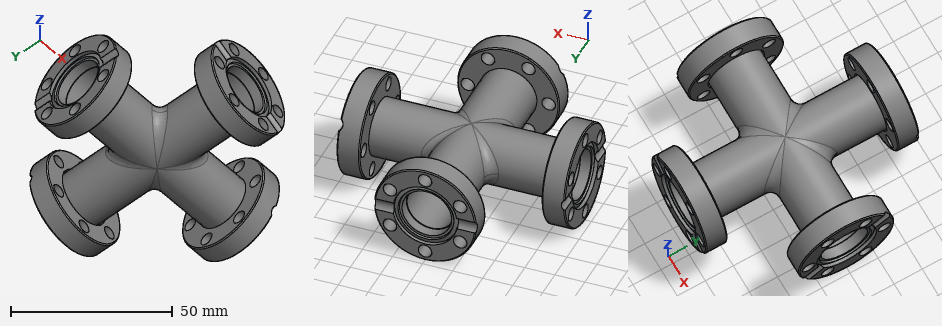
import cadquery as cq


face_distance = 38.0
flange_diameter = 34.0
flange_thickness = 7.7
flange_back = face_distance - flange_thickness
rim_chamfer = 0.4

tube_diameter = 19.0
tube_bore_diameter = 16.0
crotch_fillet = 3.4
tube_end_depth = 5.0

socket_diameter = 19.1
port_bore_diameter = 16.5
gasket_recess_diameter = 21.3
recess_depth = 1.2
knife_diameter = 18.55
knife_depth = 0.75
knife_floor_depth = 1.45
knife_inner_diameter = 18.2

bolt_count = 6
bolt_hole_diameter = 4.5
bolt_circle_diameter = 27.0

groove_width = 3.95
groove_depth = 1.15

hub_diameter = 21.3
hub_seat_diameter = 21.4
ring_neck_diameter = 20.1
hub_length = 4.55
hub_back_depth = recess_depth + hub_length

fixed_ports = [(0, 30), (-90, -30)]
rotatable_ports = [(90, 0), (180, 0)]


def cylinder(diameter, inner_end, outer_end):
    """Round bar along +X between two distances from the centre of the cross."""
    bar = cq.Workplane("YZ", origin=(inner_end, 0, 0)).circle(diameter / 2)
    return bar.extrude(outer_end - inner_end)


def place(body, direction, roll):
    """Turn a body built along +X to its port."""
    rolled = body.rotate((0, 0, 0), (1, 0, 0), roll)
    return rolled.rotate((0, 0, 0), (0, 0, 1), direction)


def crossed_bars(diameter, half_length):
    along_x = cylinder(diameter, -half_length, half_length)
    return along_x.union(along_x.rotate((0, 0, 0), (0, 0, 1), 90))


def tube_cross():
    half_length = face_distance - tube_end_depth
    outside = crossed_bars(tube_diameter, half_length)
    crotches = [edge for edge in outside.edges().vals() if edge.geomType() == "ELLIPSE"]
    outside = outside.newObject(crotches).fillet(crotch_fillet)
    return outside.cut(crossed_bars(tube_bore_diameter, half_length))


def flange_blank():
    blank = cylinder(flange_diameter, flange_back, face_distance)
    return blank.edges().chamfer(rim_chamfer)


def bolt_holes():
    """Holes spaced evenly, with the groove midway between two of them."""
    half_pitch = 180 / bolt_count
    holes = cq.Workplane("YZ", origin=(face_distance, 0, 0))
    holes = holes.polarArray(bolt_circle_diameter / 2, half_pitch, 360, bolt_count)
    return holes.circle(bolt_hole_diameter / 2).extrude(-flange_thickness)


def leak_check_groove():
    """Round-bottomed groove across the whole sealing face, along Y."""
    half_width = groove_width / 2
    groove = cq.Workplane("XZ", origin=(face_distance, 0, 0)).moveTo(0, half_width)
    groove = groove.threePointArc((-groove_depth, 0), (0, -half_width)).close()
    return groove.extrude(flange_diameter / 2, both=True)


def drilled_blank():
    return flange_blank().cut(bolt_holes()).cut(leak_check_groove())


def knife_edge_core(outer_diameter, back_depth):
    """Sealing core: knife edge in front, port bore and tube socket behind."""
    profile = [
        (back_depth, socket_diameter / 2),
        (back_depth, outer_diameter / 2),
        (recess_depth, outer_diameter / 2),
        (knife_depth, knife_diameter / 2),
        (knife_floor_depth, knife_inner_diameter / 2),
        (knife_floor_depth, port_bore_diameter / 2),
        (tube_end_depth, port_bore_diameter / 2),
        (tube_end_depth, socket_diameter / 2),
    ]
    points = [(face_distance - depth, radius) for depth, radius in profile]
    return cq.Workplane("XY").polyline(points).close().revolve(360, (0, 0, 0), (1, 0, 0))


def fixed_flange():
    ring = drilled_blank().cut(cylinder(gasket_recess_diameter, flange_back, face_distance))
    return ring.union(knife_edge_core(gasket_recess_diameter, flange_thickness))


def rotatable_hub():
    return knife_edge_core(hub_diameter, hub_back_depth)


def bolt_ring():
    seat = cylinder(hub_seat_diameter, face_distance - hub_back_depth, face_distance)
    neck = cylinder(ring_neck_diameter, flange_back, face_distance)
    return drilled_blank().cut(seat).cut(neck)


bodies = [tube_cross().solids().val()]
for direction, roll in fixed_ports:
    bodies.append(place(fixed_flange(), direction, roll).solids().val())
for direction, roll in rotatable_ports:
    bodies.append(place(rotatable_hub(), direction, roll).solids().val())
    bodies.append(place(bolt_ring(), direction, roll).solids().val())

result = cq.Compound.makeCompound(bodies)